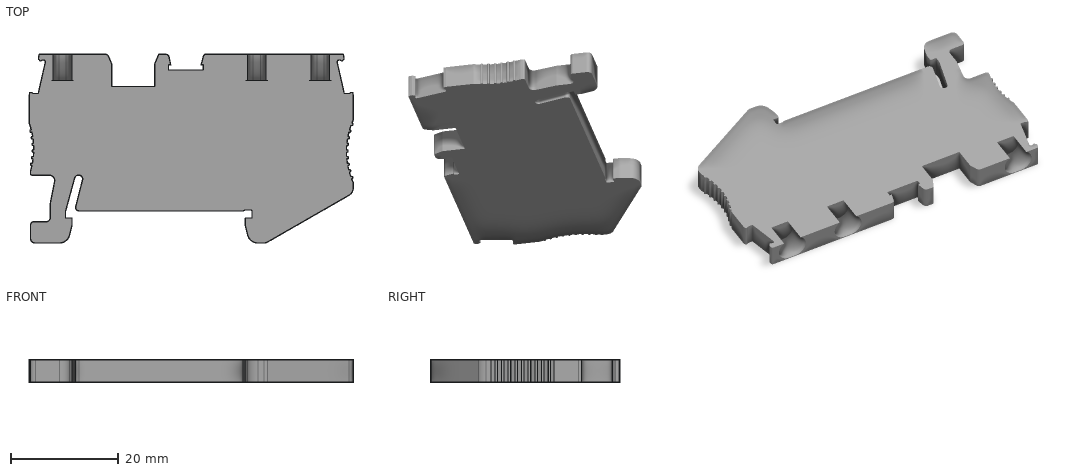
import cadquery as cq
import math

length = 60.4
height = 35.2
thickness = 4.2

hook_tip = 1.7
hook_neck = 3.1
hook_foot = 1.7
hook_bottom = 33.95
shoulder = 28.1
shoulder_step = 0.2
shoulder_chamfer = 0.55

wide_recess_left = 15.4
wide_recess_right = 23.4
wide_recess_flare = 0.8
flare_drop = 1.8
wide_recess_floor = 29.2
clip_recess_left = 26.0
clip_recess_right = 32.45
clip_recess_floor = 32.25
clip_barb = 0.4
clip_lead = 0.1
barb_level = 33.2

grip_radius = 14.2
left_grip_level = 17.5
left_grip_depth = 0.85
right_grip_level = 17.1
right_grip_depth = 1.25
left_ridges = range(-2, 4)
right_ridges = range(-4, 5)
ridge_level = 17.15
ridge_pitch = 4.95 / 4
ridge_radius = 0.25
ridge_offset = 0.05

rail_level = 6.0
rail_relief = 6.15
lip_level = 4.7
nose_level = 3.4
nose_inset = 0.85
nose_radius = 2.0
lip_radius = 0.25
nose_bend_radius = 1.8
leg_top = 12.6
leg_inset = 0.25
leg_outer = 3.9
leg_inner = 6.8
pad_level = 4.0
leg_bend = 7.35
leg_root = 4.95
lip_left = 8.05
slot_left = 8.65
slot_right = 10.15
rail_left = 8.45
seat_right = 41.5
lip_right = 40.2
rail_right = 39.85
ramp_top = 9.35
ramp_bottom = 44.1

groove_centers = (6.2, 42.4, 54.25)
groove_length = 4.95
groove_opening = 3.5
groove_floor = 1.3
groove_radius = 2.2


def mirror(corners):
    """Reflect corners across the middle of the length, keeping the travel direction."""
    return [(length - x, y, radius) for x, y, radius in reversed(corners)]


def rounded_outline(corners):
    """Closed outline through (x, y, radius) corners, each rounded by a tangent arc."""
    path = None
    count = len(corners)
    for i, (x, y, radius) in enumerate(corners):
        before = cq.Vector(*corners[i - 1][:2])
        after = cq.Vector(*corners[(i + 1) % count][:2])
        corner = cq.Vector(x, y)
        to_before = (before - corner).normalized()
        to_after = (after - corner).normalized()
        half_angle = to_before.getAngle(to_after) / 2
        setback = radius / math.tan(half_angle)
        start = corner + to_before * setback
        if path is None:
            path = cq.Workplane("XY").moveTo(start.x, start.y)
        else:
            path = path.lineTo(start.x, start.y)
        if radius > 0:
            bisector = (to_before + to_after).normalized()
            middle = corner + bisector * (radius / math.sin(half_angle) - radius)
            end = corner + to_after * setback
            path = path.threePointArc((middle.x, middle.y), (end.x, end.y))
    return path.close()


left_hook = [
    (0, shoulder - shoulder_chamfer, 0),
    (0.1, shoulder, 0),
    (0.5, shoulder, 0),
    (0.7, shoulder - shoulder_step, 0),
    (hook_foot, shoulder - shoulder_step, 0),
    (hook_neck, hook_bottom + 0.1, 0.3),
    (hook_neck - 0.6, hook_bottom + 0.1, 0),
    (hook_tip + 0.4, hook_bottom - 0.1, 0.2),
    (hook_tip, hook_bottom + 0.4, 0.2),
    (hook_tip + 0.2, height, 0.3),
]

top_recesses = [
    (wide_recess_left - wide_recess_flare, height, 0.7),
    (wide_recess_left, height - flare_drop, 0.5),
    (wide_recess_left, wide_recess_floor, 0),
    (wide_recess_right, wide_recess_floor, 0),
    (wide_recess_right, height - flare_drop, 0),
    (wide_recess_right + wide_recess_flare, height, 0.2),
    (clip_recess_left, height, 0.8),
    (clip_recess_left + clip_barb, barb_level, 0),
    (clip_recess_left, barb_level, 0),
    (clip_recess_left, clip_recess_floor, 0),
    (clip_recess_right, clip_recess_floor, 0),
    (clip_recess_right, barb_level, 0),
    (clip_recess_right - clip_barb, barb_level, 0),
    (clip_recess_right + clip_lead, height, 0.55),
]

rail_foot = [
    (length, ramp_top, 1.7),
    (ramp_bottom, 0, 1.3),
    (lip_right + nose_inset, 0, nose_radius),
    (lip_right, nose_level, nose_bend_radius),
    (lip_right, lip_level, lip_radius),
    (seat_right, lip_level, 0),
    (seat_right, rail_relief, 0.1),
    (rail_right + 0.35, rail_relief, 0),
    (rail_right, rail_level, 0),
]

spring_leg = [
    (rail_left, rail_level, 0.65),
    (slot_right, leg_top, 0.65),
    (slot_left, leg_top, 0.65),
    (leg_inner, rail_level, 0),
    (leg_inner, lip_level, 0),
    (lip_left, lip_level, lip_radius),
    (lip_left, nose_level, nose_bend_radius),
    (lip_left - nose_inset, 0, nose_radius),
    (leg_inset, 0, 0.9),
    (leg_inset, pad_level, 0.6),
    (leg_outer, pad_level, 0.8),
    (leg_outer, leg_bend, 0),
    (leg_root, leg_top, 0.95),
    (leg_inset, leg_top, 0.35),
]

left_end = [
    (leg_inset, left_grip_level, 0),
    (0, left_grip_level, 0),
]

body = rounded_outline(
    left_hook + top_recesses + mirror(left_hook) + rail_foot + spring_leg + left_end
).extrude(thickness)


def marker_groove(center):
    """Undercut groove: a flat floor between two arcs that curl in to a narrower opening."""
    half_floor = groove_floor / 2
    half_opening = groove_opening / 2
    axis_depth = math.sqrt(groove_radius**2 - (half_opening - half_floor) ** 2)
    axis_level = thickness - axis_depth
    floor_level = axis_level - groove_radius
    side = half_floor + groove_radius
    return (
        cq.Workplane("XZ", origin=(center, height, 0))
        .moveTo(-half_floor, floor_level)
        .lineTo(half_floor, floor_level)
        .threePointArc((side, axis_level), (half_opening, thickness))
        .lineTo(-half_opening, thickness)
        .threePointArc((-side, axis_level), (-half_floor, floor_level))
        .close()
        .extrude(groove_length)
    )


def grip_hollow(axis_x, level):
    """Cylinder that hollows out one end."""
    return cq.Workplane("XY", origin=(axis_x, level, 0)).circle(grip_radius).extrude(thickness)


def grip_ridges(axis_x, level, side, ridges):
    """Round ridges set slightly proud of a hollow; side is 1 at the left end and -1 at the right."""
    centers = []
    for ridge in ridges:
        y = ridge_level + ridge * ridge_pitch
        x = axis_x + side * (math.sqrt(grip_radius**2 - (y - level) ** 2) - ridge_offset)
        centers.append((x, y))
    return cq.Workplane("XY").pushPoints(centers).circle(ridge_radius).extrude(thickness)


left_axis = left_grip_depth - grip_radius
right_axis = length - right_grip_depth + grip_radius

result = (
    body
    .cut(grip_hollow(left_axis, left_grip_level))
    .cut(grip_hollow(right_axis, right_grip_level))
    .union(grip_ridges(left_axis, left_grip_level, 1, left_ridges))
    .union(grip_ridges(right_axis, right_grip_level, -1, right_ridges))
)
for groove_center in groove_centers:
    result = result.cut(marker_groove(groove_center))